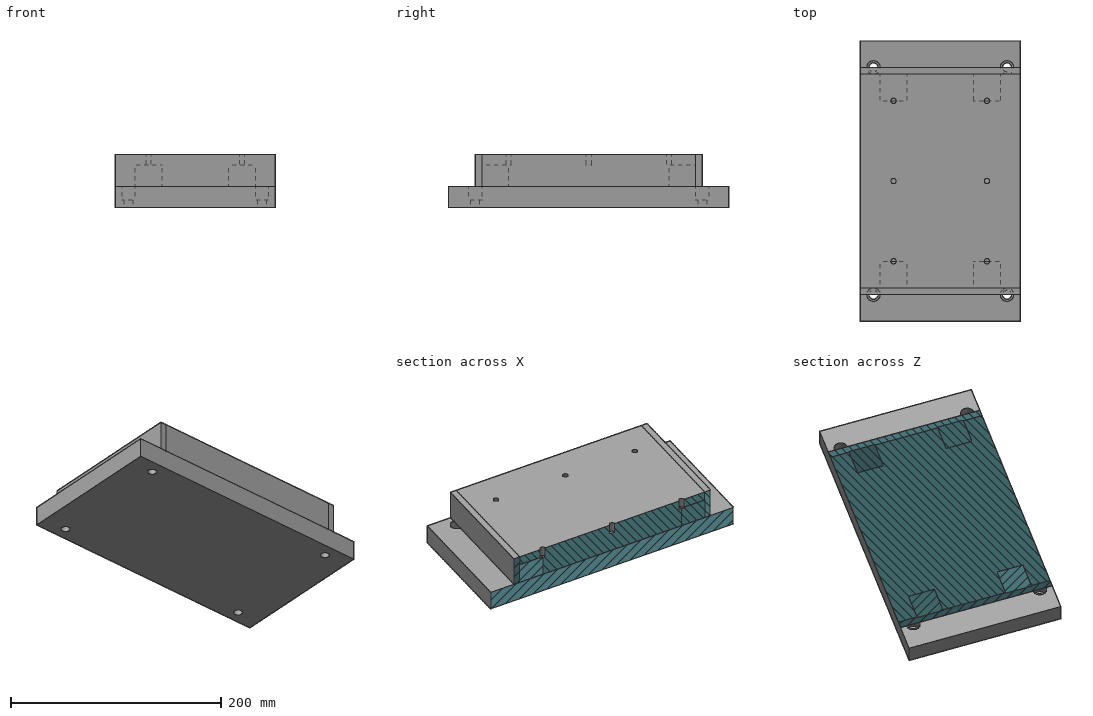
import cadquery as cq

length = 266.7
width = 152.3
total_height = 50.7

base_height = 20.3
mount_spacing_x = 127.0
mount_spacing_y = 216.0
mount_diameter = 8.5
mount_head_diameter = 12.8
mount_head_depth = 12.8

end_plate_thickness = 6.5
carriage_length = mount_spacing_y - 2 * end_plate_thickness
carriage_height = total_height - base_height

hole_diameter = 5.0
hole_depth = 10.1
hole_spacing_x = 88.8
hole_spacing_y = 76.3
holes_per_column = 3

pad_width = 25.3
pad_height = carriage_height - hole_depth
pad_inner_y = hole_spacing_y
pad_length = carriage_length / 2 - pad_inner_y
pad_positions = [(side_x * hole_spacing_x / 2, side_y) for side_x in (-1, 1) for side_y in (-1, 1)]


def block(size_x, size_y, size_z, center_x, center_y, bottom_z):
    """Box centred at the given X and Y, standing on the given height."""
    box = cq.Workplane("XY").box(size_x, size_y, size_z, centered=(True, True, False))
    return box.translate((center_x, center_y, bottom_z))


def make_base():
    """Base plate whose counterbored holes lie half under the end plates' outer faces."""
    plate = block(width, length, base_height, 0, 0, 0)
    return (
        plate.faces(">Z")
        .workplane()
        .rarray(mount_spacing_x, mount_spacing_y, 2, 2)
        .cboreHole(mount_diameter, mount_head_diameter, mount_head_depth)
    )


def make_pad(center_x, side_y):
    """Bearing pad standing on the base, with its outer end against an end plate."""
    center_y = side_y * (pad_inner_y + pad_length / 2)
    return block(pad_width, pad_length, pad_height, center_x, center_y, base_height)


def make_carriage():
    """Carriage block with blind top holes and a matching pocket for each bearing pad."""
    carriage = block(width, carriage_length, carriage_height, 0, 0, base_height)
    carriage = (
        carriage.faces(">Z")
        .workplane()
        .rarray(hole_spacing_x, hole_spacing_y, 2, holes_per_column)
        .circle(hole_diameter / 2)
        .cutBlind(-hole_depth)
    )
    for center_x, side_y in pad_positions:
        carriage = carriage.cut(make_pad(center_x, side_y))
    return carriage


def make_end_plate(side_y):
    """Plate closing one end of the carriage."""
    center_y = side_y * (carriage_length + end_plate_thickness) / 2
    return block(width, end_plate_thickness, carriage_height, 0, center_y, base_height)


base = make_base()
carriage = make_carriage()
end_plates = [make_end_plate(side_y) for side_y in (-1, 1)]
pads = [make_pad(center_x, side_y) for center_x, side_y in pad_positions]

result = cq.Compound.makeCompound(
    [
        base.solids().val(),
        carriage.solids().val(),
        *[plate.val() for plate in end_plates],
        *[pad.val() for pad in pads],
    ]
)